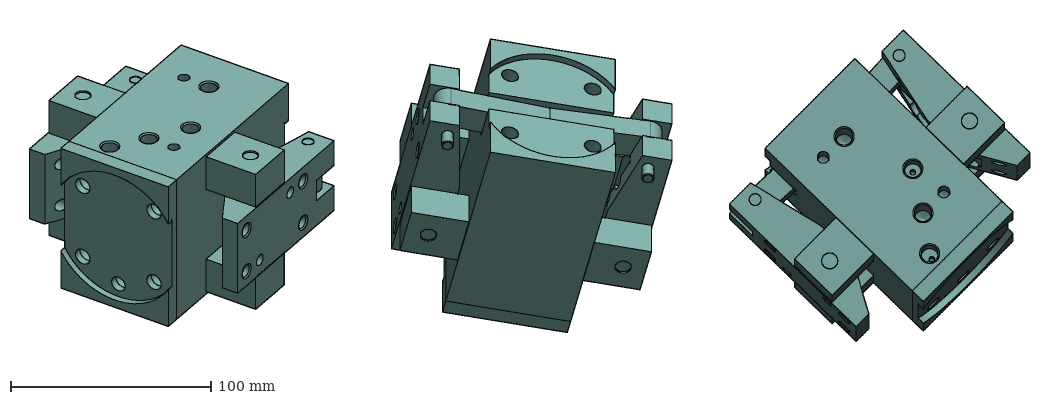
import cadquery as cq
import math

block_width = 64.0
block_length = 111.0
block_height = 84.0
cover_thickness = 7.7
front_y = -block_length / 2
back_y = block_length / 2
seam_y = front_y + cover_thickness
top_z = block_height / 2

recess_diameter = 75.0
recess_depth = 3.6

bolt_hole_diameter = 8.5
bolt_spacing = 42.4
end_port_diameter = 8.0
end_port_z = -30.0
end_port_depth = 18.6

thread_core_diameter = 8.5
thread_chamfer = 0.7
thread_depth = 17.4
dowel_diameter = 6.0
dowel_depth = 12.4
air_port_depth = 9.9
air_duct_diameter = 2.7
air_duct_depth = 5.0
drill_tip_angle = 118.0
rear_hole_y = 31.5
front_hole_y = -23.8
top_dowel_x = 14.9
air_ports = [
    (12.4, -4.5, -4.5),
    (-12.4, -40.7, -42.2),
]

ear_outer_x = 61.5
ear_outer_z = 40.5
ear_width = 26.4
ear_y = -7.5
ear_recess_x = 49.8
ear_recess_diameter = 8.0
ear_recess_depth = 1.0

jaw_height = 41.9
jaw_outer_x = 62.0
jaw_inner_x = 37.8
jaw_rear_x = 46.9
jaw_tip_x = 52.8
jaw_rear_y = 51.0
jaw_rear_bend_y = 10.7
jaw_front_bend_y = -11.0
jaw_tip_y = -38.0
groove_floor_x = 43.8
groove_height = 22.0
fork_bottom_y = 34.8
jaw_hole_z = 12.4
jaw_thread_ys = (22.6, -29.6)
jaw_thread_diameter = 6.7
jaw_thread_chamfer = 0.7
jaw_dowel_front_y = -17.5
jaw_dowel_rear_y = 10.5

link_thickness = 12.2
link_end_radius = 7.1
link_tilt = 2.5
link_slot_floor_y = 33.7
pin_x = 51.3
pin_y = 43.4
pin_diameter = 6.0
pin_top_inset = 0.5
pin_bottom_z = -29.0
pin_chamfer = 0.5


def box(x_range, y_range, z_range):
    """Box between the given limits along each axis."""
    (x0, x1), (y0, y1), (z0, z1) = x_range, y_range, z_range
    return cq.Workplane("XY").box(x1 - x0, y1 - y0, z1 - z0, centered=False).translate((x0, y0, z0))


def cylinder(start, direction, diameter, length):
    """Cylinder running from a start point along a direction."""
    return cq.Workplane(cq.Solid.makeCylinder(diameter / 2, length, cq.Vector(*start), cq.Vector(*direction)))


def drilled_hole(start, direction, diameter, depth):
    """Cutter for a blind hole with a conical drill tip."""
    tip_length = diameter / 2 / math.tan(math.radians(drill_tip_angle / 2))
    tip_start = cq.Vector(*start) + cq.Vector(*direction) * depth
    tip = cq.Solid.makeCone(diameter / 2, 0, tip_length, tip_start, cq.Vector(*direction))
    return cylinder(start, direction, diameter, depth).union(cq.Workplane(tip))


def mouth_chamfer(start, direction, diameter, size):
    """Cutter for the 45 degree chamfer around a hole mouth."""
    cone = cq.Solid.makeCone(diameter / 2 + size, diameter / 2, size, cq.Vector(*start), cq.Vector(*direction))
    return cq.Workplane(cone)


def mirrored(body):
    """The same body on the other side of the YZ plane."""
    return body.mirror("YZ")


def cut_end_features(body):
    """Cut the end recesses and the holes along Y, which cross the housing and the cover."""
    body = body.cut(cylinder((0, front_y, 0), (0, 1, 0), recess_diameter, recess_depth))
    body = body.cut(cylinder((0, back_y, 0), (0, -1, 0), recess_diameter, recess_depth))
    for x in (-bolt_spacing / 2, bolt_spacing / 2):
        for z in (-bolt_spacing / 2, bolt_spacing / 2):
            body = body.cut(cylinder((x, front_y, z), (0, 1, 0), bolt_hole_diameter, block_length))
    port_start = (0, front_y + recess_depth, end_port_z)
    return body.cut(drilled_hole(port_start, (0, 1, 0), end_port_diameter, end_port_depth))


def make_ear():
    """Upper ear on the +X side, with a shallow round recess in its top."""
    ear = box(
        (block_width / 2, ear_outer_x),
        (ear_y - ear_width / 2, ear_y + ear_width / 2),
        (jaw_height / 2, ear_outer_z),
    )
    recess_start = (ear_recess_x, ear_y, ear_outer_z)
    return ear.cut(cylinder(recess_start, (0, 0, -1), ear_recess_diameter, ear_recess_depth))


def cut_top_holes(body):
    """Cut the threaded holes, dowel holes and air ports into the top face."""
    down = (0, 0, -1)
    for y, dowel_x in ((rear_hole_y, -top_dowel_x), (front_hole_y, top_dowel_x)):
        thread_start = (0, y, top_z)
        body = body.cut(drilled_hole(thread_start, down, thread_core_diameter, thread_depth))
        body = body.cut(mouth_chamfer(thread_start, down, thread_core_diameter, thread_chamfer))
        body = body.cut(drilled_hole((dowel_x, y, top_z), down, dowel_diameter, dowel_depth))
    for x, y, duct_y in air_ports:
        port_start = (x, y, top_z)
        body = body.cut(cylinder(port_start, down, thread_core_diameter, air_port_depth))
        body = body.cut(mouth_chamfer(port_start, down, thread_core_diameter, thread_chamfer))
        duct_start = (x, duct_y, top_z - air_port_depth)
        body = body.cut(drilled_hole(duct_start, down, air_duct_diameter, air_duct_depth))
    return body


def make_housing():
    """Block behind the cover, with two ears on each side."""
    half_width = block_width / 2
    housing = cut_end_features(box((-half_width, half_width), (seam_y, back_y), (-top_z, top_z)))
    upper_ear = make_ear()
    for ear in (upper_ear, upper_ear.mirror("XY")):
        housing = housing.union(ear).union(mirrored(ear))
    link_slot = box(
        (-half_width, half_width),
        (link_slot_floor_y, back_y),
        (-link_thickness / 2, link_thickness / 2),
    )
    return cut_top_holes(housing.cut(link_slot))


def make_cover():
    """Plate that closes the -Y end of the housing."""
    half_width = block_width / 2
    return cut_end_features(box((-half_width, half_width), (front_y, seam_y), (-top_z, top_z)))


def cut_jaw_holes(jaw, dowel_side):
    """Cut the holes through the jaw along X; dowel_side is the Z sign of the front dowel hole."""
    inward = (-1, 0, 0)
    length = jaw_outer_x - jaw_inner_x
    for y in jaw_thread_ys:
        for z in (-jaw_hole_z, jaw_hole_z):
            start = (jaw_outer_x, y, z)
            jaw = jaw.cut(cylinder(start, inward, jaw_thread_diameter, length))
            jaw = jaw.cut(mouth_chamfer(start, inward, jaw_thread_diameter, jaw_thread_chamfer))
    for y, z_sign in ((jaw_dowel_front_y, dowel_side), (jaw_dowel_rear_y, -dowel_side)):
        start = (jaw_outer_x, y, z_sign * jaw_hole_z)
        jaw = jaw.cut(cylinder(start, inward, dowel_diameter, length))
    return jaw


def make_jaw(dowel_side):
    """Jaw on the +X side: tapered plate, grooved inside and forked at its rear end."""
    outline = [
        (jaw_outer_x, jaw_rear_y),
        (jaw_rear_x, jaw_rear_y),
        (jaw_inner_x, jaw_rear_bend_y),
        (jaw_inner_x, jaw_front_bend_y),
        (jaw_tip_x, jaw_tip_y),
        (jaw_outer_x, jaw_tip_y),
    ]
    jaw = cq.Workplane("XY").polyline(outline).close().extrude(jaw_height / 2, both=True)
    groove = box(
        (jaw_inner_x, groove_floor_x),
        (jaw_tip_y, jaw_rear_y),
        (-groove_height / 2, groove_height / 2),
    )
    fork_slot = box(
        (jaw_inner_x, jaw_outer_x),
        (fork_bottom_y, jaw_rear_y),
        (-link_thickness / 2, link_thickness / 2),
    )
    pin_bore = cylinder((pin_x, pin_y, -jaw_height / 2), (0, 0, 1), pin_diameter, jaw_height)
    return cut_jaw_holes(jaw.cut(groove).cut(fork_slot).cut(pin_bore), dowel_side)


def make_link():
    """Link on the +X side: round-ended bar from the jaw to the middle of the housing, with a cross pin."""
    bar_length = jaw_outer_x
    bar = box(
        (-bar_length, 0),
        (-link_end_radius, link_end_radius),
        (-link_thickness / 2, link_thickness / 2),
    )
    eye = cylinder((0, 0, -link_thickness / 2), (0, 0, 1), 2 * link_end_radius, link_thickness)
    link = bar.union(eye).rotate((0, 0, 0), (0, 0, 1), link_tilt).translate((pin_x, pin_y, 0))
    beyond_middle = box((-jaw_outer_x, 0), (front_y, back_y), (-top_z, top_z))
    pin_length = jaw_height / 2 - pin_top_inset - pin_bottom_z
    pin = cylinder((pin_x, pin_y, pin_bottom_z), (0, 0, 1), pin_diameter, pin_length)
    pin = pin.faces("<Z").chamfer(pin_chamfer)
    return link.cut(beyond_middle).union(pin)


housing = make_housing()
cover = make_cover()
right_jaw = make_jaw(dowel_side=-1)
left_jaw = mirrored(make_jaw(dowel_side=1))
right_link = make_link()
left_link = mirrored(right_link)

result = cq.Compound.makeCompound([
    housing.val(),
    cover.val(),
    right_jaw.val(),
    left_jaw.val(),
    right_link.val(),
    left_link.val(),
])